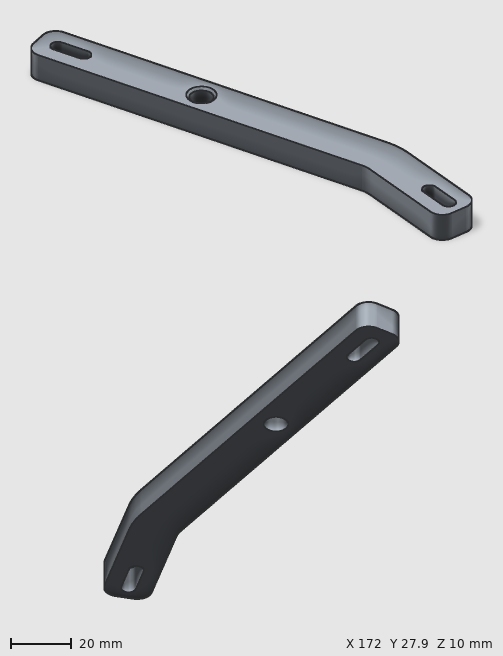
import cadquery as cq
import math

total_length = 172.0
thickness = 10.0
width = 16.0
corner_radius = 5.0
bend_angle = 20.0
inner_bend_radius = 10.0
arm_length = 40.2

slot_length = 15.0
slot_width = 5.0
bar_slot_gap = 5.2
arm_slot_gap = 3.1

hole_position = 63.0
hole_diameter = 8.0
hole_mouth_diameter = 10.0

bend = math.radians(bend_angle)
corner_along = arm_length - corner_radius
corner_across = width / 2 - corner_radius
arm_reach = corner_along * math.cos(bend) + corner_across * math.sin(bend) + corner_radius
bend_x = total_length - arm_reach


def arm_point(along, across):
    """Point on the bent arm, from its centreline distance and sideways offset."""
    return (
        bend_x + along * math.cos(bend) + across * math.sin(bend),
        -along * math.sin(bend) + across * math.cos(bend),
    )


def round_edges(solid, points, radius):
    """Round the upright edges that stand at the given outline points."""
    for x, y in points:
        edge = cq.selectors.NearestToPointSelector((x, y, thickness / 2))
        solid = solid.edges(edge).fillet(radius)
    return solid


def make_body():
    half_width = width / 2
    miter_shift = half_width * math.tan(bend / 2)
    inner_bend = (bend_x - miter_shift, -half_width)
    outer_bend = (bend_x + miter_shift, half_width)
    outline = [
        (0, -half_width),
        inner_bend,
        arm_point(arm_length, -half_width),
        arm_point(arm_length, half_width),
        outer_bend,
        (0, half_width),
    ]
    body = cq.Workplane("XY").polyline(outline).close().extrude(thickness)

    end_corners = [outline[0], outline[2], outline[3], outline[5]]
    body = round_edges(body, end_corners, corner_radius)
    body = round_edges(body, [inner_bend], inner_bend_radius)
    return round_edges(body, [outer_bend], inner_bend_radius + width)


def slot_cutter(center, angle):
    return (
        cq.Workplane("XY")
        .center(*center)
        .slot2D(slot_length, slot_width, angle)
        .extrude(thickness)
    )


def hole_cutter():
    chamfer = (hole_mouth_diameter - hole_diameter) / 2
    bore = cq.Workplane("XY").center(hole_position, 0).circle(hole_diameter / 2).extrude(thickness)
    mouth = (
        cq.Workplane("XY", origin=(hole_position, 0, thickness))
        .circle(hole_mouth_diameter / 2)
        .extrude(-chamfer, taper=45)
    )
    return bore.union(mouth)


bar_slot_center = (bar_slot_gap + slot_length / 2, 0)
arm_slot_center = arm_point(arm_length - arm_slot_gap - slot_length / 2, 0)

result = (
    make_body()
    .cut(slot_cutter(bar_slot_center, 0))
    .cut(slot_cutter(arm_slot_center, -bend_angle))
    .cut(hole_cutter())
)